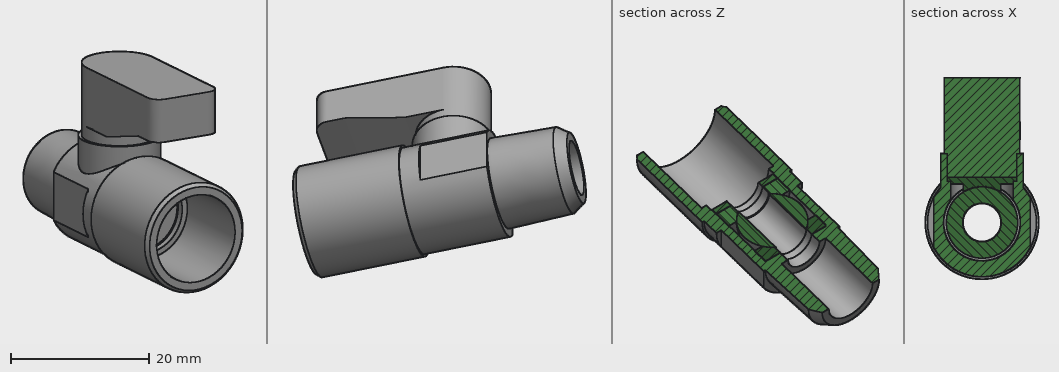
import cadquery as cq

total_length = 40.5
total_height = 29.25
stem_x = 18.5
collar_top_z = 10.0

nose_tip_diameter = 10.5
nose_chamfer_length = 1.75
thread_start_diameter = 12.85
nose_root_diameter = 13.4
thread_end_x = 11.05
barrel_start_x = 11.55
barrel_diameter = 15.8
socket_start_x = 24.45
socket_diameter = 16.5
socket_chamfer_length = 0.6
socket_chamfer_depth = 0.5
flats_end_x = 21.55
flats_width = 14.0
collar_diameter = 12.0

nose_bore_diameter = 8.0
nose_bore_depth = thread_end_x
passage_diameter = 5.75
cavity_start_x = 12.95
cavity_diameter = 11.1
cavity_end_x = 25.55
relief_diameter = 11.45
socket_bore_start_x = 26.75
socket_bore_diameter = 13.15
stem_bore_diameter = 9.0
gland_bore_diameter = 10.0
gland_floor_z = 6.0
flange_top_z = 6.55

ball_diameter = 10.45
port_diameter = 5.5
seat_gap = 6.0
retainer_start_x = 24.55

neck_diameter = port_diameter
neck_bottom_z = 4.55

handle_width = 11.0
handle_end_x = 38.0
handle_top_z = total_height - socket_diameter / 2
handle_corner_radius = 1.9
grip_bottom_z = 14.5
slope_end_x = 33.35
slope_start_x = 24.3
hub_grip_bottom_z = 12.03


def cylinder_along_x(diameter, start_x, end_x):
    """Solid cylinder on the flow axis."""
    return cq.Workplane("YZ", origin=(start_x, 0, 0)).circle(diameter / 2).extrude(end_x - start_x)


def cylinder_along_z(diameter, bottom_z, top_z):
    """Solid cylinder on the stem axis."""
    return cq.Workplane("XY", origin=(stem_x, 0, bottom_z)).circle(diameter / 2).extrude(top_z - bottom_z)


def make_housing():
    """Valve body: male nose, barrel with wrench flats, female socket and stem collar."""
    profile = [
        (0, 0),
        (0, nose_tip_diameter / 2),
        (nose_chamfer_length, thread_start_diameter / 2),
        (thread_end_x, nose_root_diameter / 2),
        (barrel_start_x, nose_root_diameter / 2),
        (barrel_start_x, barrel_diameter / 2),
        (socket_start_x, barrel_diameter / 2),
        (socket_start_x, socket_diameter / 2),
        (total_length - socket_chamfer_length, socket_diameter / 2),
        (total_length, socket_diameter / 2 - socket_chamfer_depth),
        (total_length, 0),
    ]
    housing = cq.Workplane("XY").polyline(profile).close().revolve(360, (0, 0, 0), (1, 0, 0))

    flats_length = flats_end_x - barrel_start_x
    waste = cq.Workplane("XY", origin=(barrel_start_x, 0, 0)).box(
        flats_length, barrel_diameter, barrel_diameter, centered=(False, True, True)
    )
    flat_offset = (flats_width + barrel_diameter) / 2
    for side in (-1, 1):
        housing = housing.cut(waste.translate((0, side * flat_offset, 0)))

    housing = housing.union(cylinder_along_z(collar_diameter, 0, collar_top_z))

    housing = housing.cut(cylinder_along_x(nose_bore_diameter, 0, nose_bore_depth))
    housing = housing.cut(cylinder_along_x(passage_diameter, nose_bore_depth, cavity_start_x))
    housing = housing.cut(cylinder_along_x(cavity_diameter, cavity_start_x, cavity_end_x))
    housing = housing.cut(cylinder_along_x(relief_diameter, cavity_end_x, socket_bore_start_x))
    housing = housing.cut(cylinder_along_x(socket_bore_diameter, socket_bore_start_x, total_length))

    housing = housing.cut(cylinder_along_z(stem_bore_diameter, 0, gland_floor_z))
    return housing.cut(cylinder_along_z(gland_bore_diameter, gland_floor_z, collar_top_z))


def ball_sphere():
    """Full sphere of the ball, with its poles on the flow axis."""
    return cq.Workplane("YZ").sphere(ball_diameter / 2).translate((stem_x, 0, 0))


def make_ball():
    """Ball with its port open along the flow axis."""
    return ball_sphere().cut(cylinder_along_x(port_diameter, cavity_start_x, cavity_end_x))


def make_ring(outer_diameter, start_x, end_x):
    """Ring on the flow axis, with the passage through it."""
    ring = cylinder_along_x(outer_diameter, start_x, end_x)
    return ring.cut(cylinder_along_x(passage_diameter, start_x, end_x))


def make_seat(start_x, end_x):
    """Seat ring with a spherical recess that the ball fits."""
    return make_ring(cavity_diameter, start_x, end_x).cut(ball_sphere())


def make_retainer():
    """Ring that holds the seats and the ball in the cavity."""
    return make_ring(cavity_diameter, retainer_start_x, cavity_end_x)


def make_stem():
    """Stem with a neck on the ball, a shank and a flange on the gland floor."""
    shank_bottom_z = cavity_diameter / 2
    neck = cylinder_along_z(neck_diameter, neck_bottom_z, shank_bottom_z).cut(ball_sphere())
    shank = cylinder_along_z(stem_bore_diameter, shank_bottom_z, gland_floor_z)
    flange = cylinder_along_z(gland_bore_diameter, gland_floor_z, flange_top_z)
    return neck.union(shank).union(flange)


def make_handle():
    """Lever handle with a round hub and a spigot that fills the gland bore."""
    grip = (
        cq.Workplane("XZ", origin=(0, handle_width / 2, 0))
        .polyline(
            [
                (stem_x, hub_grip_bottom_z),
                (slope_start_x, hub_grip_bottom_z),
                (slope_end_x, grip_bottom_z),
                (handle_end_x, grip_bottom_z),
                (handle_end_x, handle_top_z),
                (stem_x, handle_top_z),
            ]
        )
        .close()
        .extrude(handle_width)
        .edges("|Z and >X")
        .fillet(handle_corner_radius)
    )
    hub = cylinder_along_z(handle_width, collar_top_z, handle_top_z)
    spigot = cylinder_along_z(gland_bore_diameter, flange_top_z, collar_top_z)
    return grip.union(hub).union(spigot)


housing = make_housing()
ball = make_ball()
seat_spans = [
    (cavity_start_x, stem_x - seat_gap / 2),
    (stem_x + seat_gap / 2, retainer_start_x),
]
seats = [make_seat(start_x, end_x) for start_x, end_x in seat_spans]
retainer = make_retainer()
stem = make_stem()
handle = make_handle()

bodies = [housing, ball, *seats, retainer, stem, handle]
result = cq.Compound.makeCompound([body.solids().val() for body in bodies])